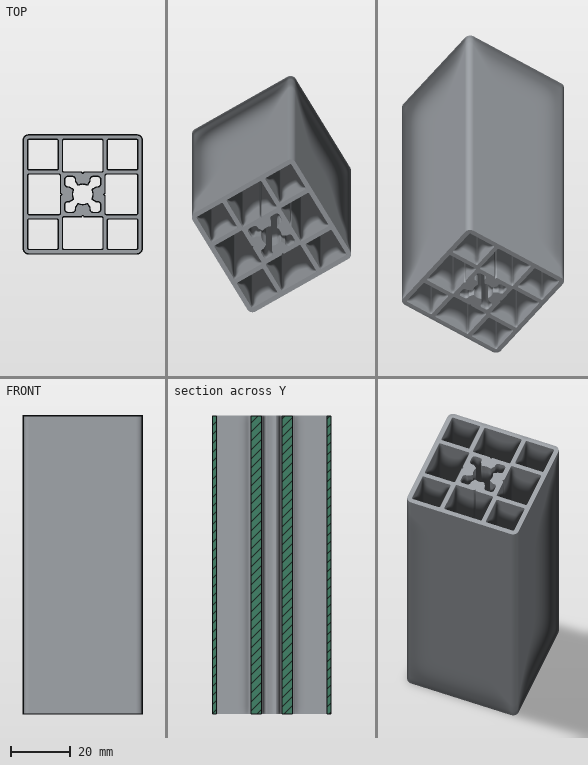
import cadquery as cq
import math

side = 40.0
length = 100.0
outer_corner_radius = 2.0

outer_wall = 1.6
web_thickness = 1.5
web_center = 7.5
chamber_corner_radius = 0.4

core_half_width = 7.5
groove_depth = 0.5
groove_half_width = 0.5

bore_radius = 3.4
land_tip_half_width = 1.6
land_tip_radius = 0.3
land_taper_start = 4.5
lobe_inner = 2.5
lobe_outer = 6.0
lobe_corner_radius = 1.0

chamber_outer = side / 2 - outer_wall
web_outer_face = web_center + web_thickness / 2
web_inner_face = web_center - web_thickness / 2
land_tip_distance = math.sqrt(bore_radius**2 - land_tip_half_width**2)

position_tolerance = 0.001
quarter_turns = (0, 90, 180, 270)


def rounded_bar(x_min, x_max, y_min, y_max, radius):
    """Full-length rectangular bar with rounded lengthwise edges."""
    return (
        cq.Workplane("XY")
        .center((x_min + x_max) / 2, (y_min + y_max) / 2)
        .rect(x_max - x_min, y_max - y_min)
        .extrude(length)
        .edges("|Z")
        .fillet(radius)
    )


def around_axis(body):
    """Four copies of a body, a quarter turn apart about the profile axis."""
    return [body.rotate((0, 0, 0), (0, 0, 1), angle) for angle in quarter_turns]


def corner_chamber():
    """Square chamber in a corner of the profile."""
    return rounded_bar(
        web_outer_face, chamber_outer, web_outer_face, chamber_outer, chamber_corner_radius
    )


def side_chamber():
    """Chamber between the outer wall and the core."""
    return rounded_bar(
        core_half_width, chamber_outer, -web_inner_face, web_inner_face, chamber_corner_radius
    )


def core_groove():
    """Small V groove along the middle of a core face."""
    return (
        cq.Workplane("XY")
        .moveTo(core_half_width, -groove_half_width)
        .lineTo(core_half_width - groove_depth, 0)
        .lineTo(core_half_width, groove_half_width)
        .close()
        .extrude(length)
    )


def cavity_lobe():
    """Rounded pocket in a corner of the core."""
    return rounded_bar(lobe_inner, lobe_outer, lobe_inner, lobe_outer, lobe_corner_radius)


def lobe_throat():
    """Opening from the bore to a lobe, bounded by the tapered flanks of two lands."""
    return (
        cq.Workplane("XY")
        .polyline(
            [
                (0, 0),
                (land_tip_distance, land_tip_half_width),
                (land_taper_start, lobe_inner),
                (land_taper_start, land_taper_start),
                (lobe_inner, land_taper_start),
                (land_tip_half_width, land_tip_distance),
            ]
        )
        .close()
        .extrude(length)
    )


def is_land_tip(edge):
    """True for a lengthwise edge where a land flank meets the bore."""
    x, y = abs(edge.Center().x), abs(edge.Center().y)
    return (
        math.isclose(min(x, y), land_tip_half_width, abs_tol=position_tolerance)
        and math.isclose(max(x, y), land_tip_distance, abs_tol=position_tolerance)
    )


half = side / 2
result = rounded_bar(-half, half, -half, half, outer_corner_radius)

for feature in (corner_chamber(), side_chamber(), core_groove()):
    for cutter in around_axis(feature):
        result = result.cut(cutter)

cavity = cq.Workplane("XY").circle(bore_radius).extrude(length)
for feature in (lobe_throat(), cavity_lobe()):
    for cutter in around_axis(feature):
        cavity = cavity.union(cutter)
cavity = cavity.edges("|Z").filter(is_land_tip).fillet(land_tip_radius)
result = result.cut(cavity)